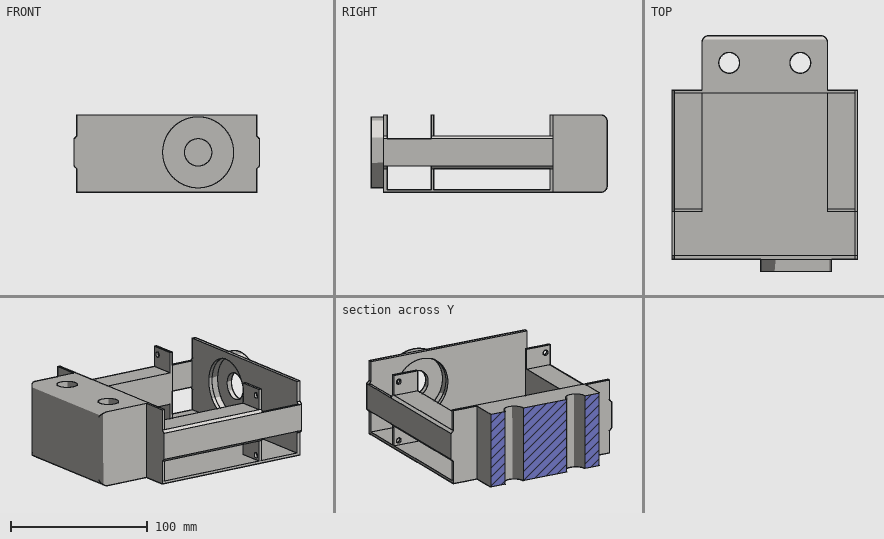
import cadquery as cq

TRAY_WIDTH = 132.0
TRAY_HEIGHT = 57.0
TRAY_FRONT = 9.0
TRAY_BACK = 133.0
FLOOR_THICKNESS = 2.0
FRONT_THICKNESS = 3.0
BACK_THICKNESS = 2.0

OVERALL_WIDTH = 136.0
RAIL_PROUD = (OVERALL_WIDTH - TRAY_WIDTH) / 2
RAIL_HEIGHT = 24.0
RAIL_CENTRE_Z = 29.4
STRIP_HEIGHT = RAIL_HEIGHT - 2 * RAIL_PROUD

LUG_FRONT = 44.0
LUG_THICKNESS = 2.0
LUG_HOLE_DIAMETER = 4.0
LUG_HOLE_INSET = 4.0
LUG_HOLE_END_DISTANCE = 5.5

BLOCK_WIDTH = 92.0
BLOCK_BACK = 173
BLOCK_FILLET = 5.0
BLOCK_HOLE_DIAMETER = 15.0
BLOCK_HOLE_SPACING = 52.0

DISC_DIAMETER = 52.0
DISC_BORE = 20.0
DISC_WALL = 4.0
DISC_CAVITY = DISC_DIAMETER - 2 * DISC_WALL
DISC_X = 23.0
DISC_Z = 29.4


def box(x_range, y_range, z_range):
    """Box between the given limits along each axis."""
    lengths = [high - low for low, high in (x_range, y_range, z_range)]
    corner = (x_range[0], y_range[0], z_range[0])
    return cq.Workplane("XY").box(*lengths, centered=False).translate(corner)


def cylinder_along_y(diameter, x, z, y_start, y_end):
    """Cylinder parallel to Y."""
    axis_start = cq.Vector(x, y_start, z)
    solid = cq.Solid.makeCylinder(diameter / 2, y_end - y_start, axis_start, cq.Vector(0, 1, 0))
    return cq.Workplane(solid)


def make_tray():
    """Floor with a front plate and a back plate."""
    x_range = (-TRAY_WIDTH / 2, TRAY_WIDTH / 2)
    floor = box(x_range, (TRAY_FRONT, TRAY_BACK), (0, FLOOR_THICKNESS))
    front = box(x_range, (TRAY_FRONT, TRAY_FRONT + FRONT_THICKNESS), (0, TRAY_HEIGHT))
    back = box(x_range, (TRAY_BACK - BACK_THICKNESS, TRAY_BACK), (0, TRAY_HEIGHT))
    return floor.union(front).union(back)


def rail_section(y_start, y_end):
    """Stretch of the left rail: a full bar with its outer edges chamfered."""
    tray_side = -TRAY_WIDTH / 2
    outer_side = -OVERALL_WIDTH / 2
    inner_side = -BLOCK_WIDTH / 2
    half_bar = RAIL_HEIGHT / 2
    half_strip = STRIP_HEIGHT / 2
    outline = [
        (inner_side, -half_bar),
        (tray_side, -half_bar),
        (outer_side, -half_strip),
        (outer_side, half_strip),
        (tray_side, half_bar),
        (inner_side, half_bar),
    ]
    return (
        cq.Workplane("XZ", origin=(0, y_end, RAIL_CENTRE_Z))
        .polyline(outline)
        .close()
        .extrude(y_end - y_start)
    )


def make_left_side():
    """Left rail, the thin strip that carries it to the front plate, and its lug."""
    bar = rail_section(LUG_FRONT, TRAY_BACK)
    front_ear = rail_section(TRAY_FRONT, TRAY_FRONT + FRONT_THICKNESS)
    strip = box(
        (-OVERALL_WIDTH / 2, -TRAY_WIDTH / 2),
        (TRAY_FRONT, LUG_FRONT),
        (RAIL_CENTRE_Z - STRIP_HEIGHT / 2, RAIL_CENTRE_Z + STRIP_HEIGHT / 2),
    )
    lug_back = LUG_FRONT + LUG_THICKNESS
    lug = box((-TRAY_WIDTH / 2, -BLOCK_WIDTH / 2), (LUG_FRONT, lug_back), (0, TRAY_HEIGHT))
    hole_x = -TRAY_WIDTH / 2 + LUG_HOLE_INSET
    for hole_z in (LUG_HOLE_END_DISTANCE, TRAY_HEIGHT - LUG_HOLE_END_DISTANCE):
        lug = lug.cut(cylinder_along_y(LUG_HOLE_DIAMETER, hole_x, hole_z, LUG_FRONT, lug_back))
    return bar.union(front_ear).union(strip).union(lug)


def make_mounting_block():
    """Block with rounded rear edges and two vertical through holes."""
    block = box((-BLOCK_WIDTH / 2, BLOCK_WIDTH / 2), (TRAY_BACK, BLOCK_BACK), (0, TRAY_HEIGHT))
    block = block.faces(">Y").edges().fillet(BLOCK_FILLET)
    holes = (
        cq.Workplane("XY", origin=(0, (TRAY_BACK + BLOCK_BACK) / 2, 0))
        .rarray(BLOCK_HOLE_SPACING, 1.7, 2, 1)
        .circle(BLOCK_HOLE_DIAMETER / 2)
        .extrude(TRAY_HEIGHT)
    )
    return block.cut(holes)


def make_frame():
    """Tray, rails and mounting block, with the disc's cavity continued through the front plate."""
    left_side = make_left_side()
    frame = make_tray().union(left_side).union(left_side.mirror("YZ")).union(make_mounting_block())
    plate_back = TRAY_FRONT + FRONT_THICKNESS
    opening = cylinder_along_y(DISC_CAVITY, DISC_X, DISC_Z, TRAY_FRONT, plate_back)
    return frame.cut(opening)


def make_disc():
    """Cup seated against the front plate, with a bore through its face."""
    disc = cylinder_along_y(DISC_DIAMETER, DISC_X, DISC_Z, 0, TRAY_FRONT)
    bore = cylinder_along_y(DISC_BORE, DISC_X, DISC_Z, 0, DISC_WALL)
    cavity = cylinder_along_y(DISC_CAVITY, DISC_X, DISC_Z, DISC_WALL, TRAY_FRONT)
    return disc.cut(bore).cut(cavity)


frame = make_frame()
disc = make_disc()
result = cq.Compound.makeCompound([frame.val(), disc.val()])